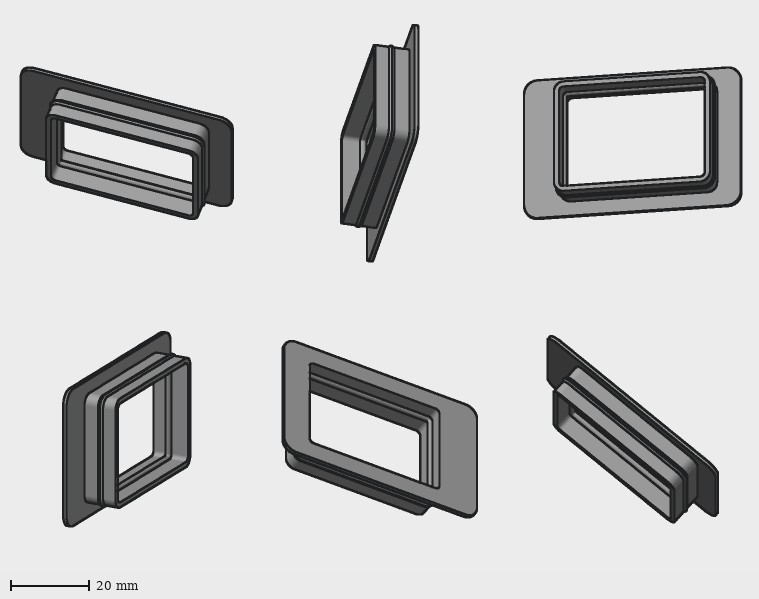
import cadquery as cq

plate_length = 56.75
plate_height = 37.1
plate_thickness = 1.0
plate_corner_radius = 3.5

total_depth = 10.0
collar_length = 40.85
collar_height = 29.5
collar_wall = 1.35
collar_corner_radius = 2.55
collar_left_margin = 9.75
collar_center_x = collar_left_margin + collar_length / 2 - plate_length / 2

ridge_setback = 5.7
bead_setback = 4.4
ridge_height = 0.4
ridge_half_width = 0.75
ridge_root_depth = 0.55
bead_radius = 0.85

opening_height = collar_height - 2 * collar_wall

plate_front_y = total_depth - plate_thickness
ridge_y = total_depth - ridge_setback
bead_y = total_depth - bead_setback


def rounded_block(length, height, radius, center_x, start_y, end_y):
    """Block extending along Y, with its four edges along Y rounded."""
    return (
        cq.Workplane("XY")
        .box(length, end_y - start_y, height)
        .edges("|Y")
        .fillet(radius)
        .translate((center_x, (start_y + end_y) / 2, 0))
    )


def collar_block(offset, start_y, end_y):
    """Rounded block concentric with the collar, its outline grown by offset."""
    return rounded_block(
        collar_length + 2 * offset,
        collar_height + 2 * offset,
        collar_corner_radius + offset,
        collar_center_x,
        start_y,
        end_y,
    )


def swept_around(profile, path_y, offset):
    """Sweep a profile drawn at the top centre around the collar outline grown by offset."""
    path = collar_block(offset, path_y, total_depth).faces("<Y").wires().val()
    return profile.sweep(cq.Workplane(path), transition="round")


def snap_ridge():
    """Ridge of triangular section around the outside of the collar."""
    profile = (
        cq.Workplane("YZ", origin=(collar_center_x, ridge_y, collar_height / 2))
        .moveTo(-ridge_half_width, -ridge_root_depth)
        .lineTo(-ridge_half_width, 0)
        .lineTo(0, ridge_height)
        .lineTo(ridge_half_width, 0)
        .lineTo(ridge_half_width, -ridge_root_depth)
        .close()
    )
    return swept_around(profile, ridge_y, 0)


def inner_bead():
    """Half-round bead around the wall of the opening."""
    profile = cq.Workplane("YZ", origin=(collar_center_x, bead_y, opening_height / 2)).circle(bead_radius)
    return swept_around(profile, bead_y, -collar_wall)


plate = rounded_block(
    plate_length, plate_height, plate_corner_radius, 0, plate_front_y, total_depth
)
collar = collar_block(0, 0, total_depth)
opening = collar_block(-collar_wall, 0, total_depth)

frame = plate.union(collar).union(snap_ridge()).cut(opening)
result = frame.union(inner_bead())